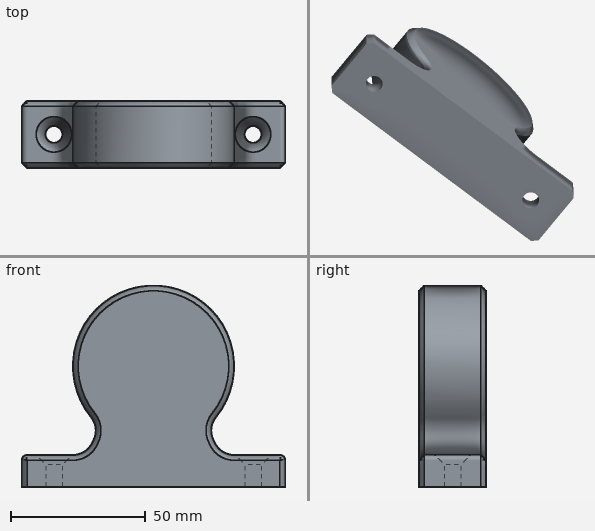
import cadquery as cq
import math

length = 98.0
depth = 25.0
height = 75.0

head_radius = 30.0
head_center_z = height - head_radius
base_height = 12.0
waist_radius = 8.0
waist_lean = math.radians(66.0)
flat_inner_x = 30.0

end_radius = 2.0
chamfer = 2.0

hole_diameter = 6.2
countersink_diameter = 13.2
countersink_angle = 90.0
hole_inset = 12.0
hole_x = length / 2 - hole_inset


def polar(center, radius, angle):
    """Point on a circle in the XZ plane."""
    return (center[0] + radius * math.cos(angle), center[1] + radius * math.sin(angle))


def mirrored(point):
    """The matching point on the -X side."""
    return (-point[0], point[1])


def waist_arcs():
    """Start, middle and end points of the lower and upper waist arcs on the +X side."""
    lower_center = (flat_inner_x, base_height + waist_radius)

    along = (-math.cos(waist_lean), math.sin(waist_lean))
    offset = (lower_center[0], lower_center[1] - head_center_z)
    center_reach = head_radius + waist_radius
    closest_travel = -(offset[0] * along[0] + offset[1] * along[1])
    miss_squared = offset[0] ** 2 + offset[1] ** 2 - closest_travel ** 2
    travel = closest_travel - math.sqrt(center_reach ** 2 - miss_squared)
    upper_center = (lower_center[0] + travel * along[0], lower_center[1] + travel * along[1])

    flat_angle = math.pi + (math.pi / 2 - waist_lean)
    base_angle = 3 * math.pi / 2
    head_angle = math.atan2(head_center_z - upper_center[1], -upper_center[0])
    lower = [
        polar(lower_center, waist_radius, angle)
        for angle in (base_angle, (base_angle + flat_angle) / 2, flat_angle)
    ]
    upper = [
        polar(upper_center, waist_radius, angle)
        for angle in (flat_angle, (flat_angle + head_angle) / 2, head_angle)
    ]
    return lower, upper


def make_body():
    """Symmetric outline extruded along Y, with its base ends rounded."""
    lower, upper = waist_arcs()
    half_length = length / 2
    end_center = (half_length - end_radius, base_height - end_radius)
    end_middle = polar(end_center, end_radius, math.pi / 4)
    end_top = (end_center[0], base_height)
    end_side = (half_length, end_center[1])
    return (
        cq.Workplane("XZ")
        .moveTo(-half_length, 0)
        .lineTo(half_length, 0)
        .lineTo(*end_side)
        .threePointArc(end_middle, end_top)
        .lineTo(*lower[0])
        .threePointArc(lower[1], lower[2])
        .lineTo(*upper[0])
        .threePointArc(upper[1], upper[2])
        .threePointArc((0, height), mirrored(upper[2]))
        .threePointArc(mirrored(upper[1]), mirrored(upper[0]))
        .lineTo(*mirrored(lower[2]))
        .threePointArc(mirrored(lower[1]), mirrored(lower[0]))
        .lineTo(*mirrored(end_top))
        .threePointArc(mirrored(end_middle), mirrored(end_side))
        .close()
        .extrude(depth / 2, both=True)
    )


def chamfer_outline(body):
    """Chamfer the front and back outline, leaving the bottom edges sharp."""
    return body.faces("<Y or >Y").edges("not <Z").chamfer(chamfer)


def drill_mounting_holes(body):
    """Countersunk holes through the base, one near each end."""
    return (
        body.copyWorkplane(cq.Workplane("XY", origin=(0, 0, base_height)))
        .pushPoints([(-hole_x, 0), (hole_x, 0)])
        .cskHole(hole_diameter, countersink_diameter, countersink_angle, depth=base_height)
    )


result = drill_mounting_holes(chamfer_outline(make_body()))